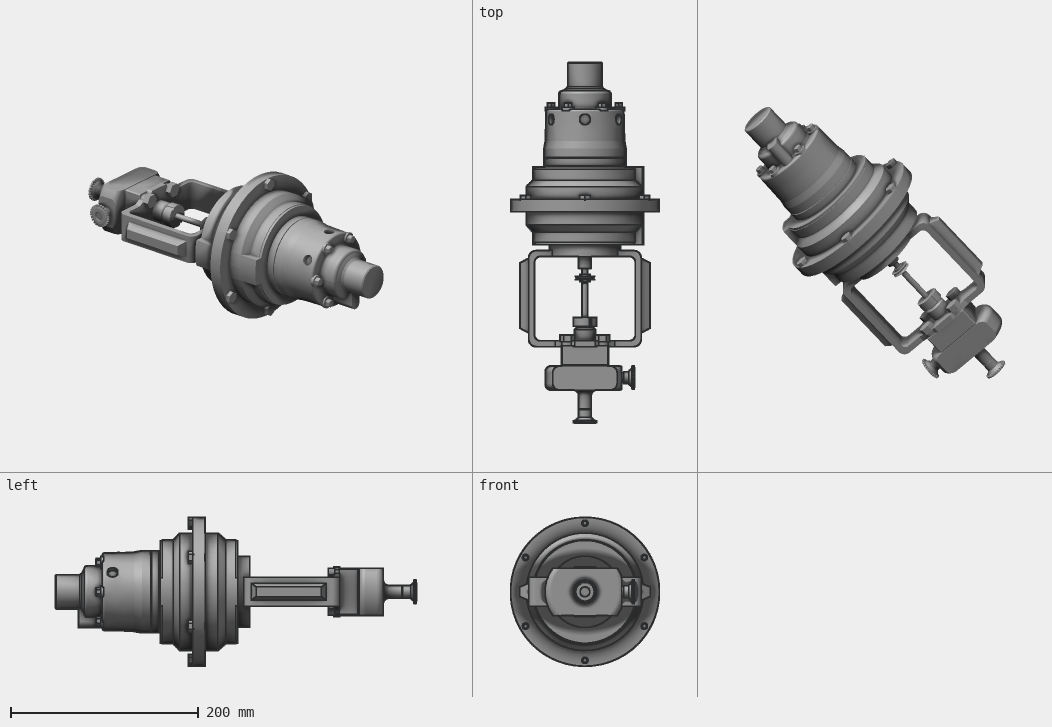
import cadquery as cq
import math


OVERALL_LENGTH = 384.6
OVERALL_WIDTH = 158.75
OVERALL_HEIGHT = 158.9

FLANGE_R = OVERALL_WIDTH / 2
FLANGE_BACK_Y = 7.2
FLANGE_FRONT_Y = -6.1
CASING_R = 62.6
RIM_R = 55.5
LIP_R = 54.7
LIP_LENGTH = 2.6
CASING_BACK_Y = 42.0
BACK_CONE_Y = (20.9, 27.8)
CASING_FRONT_Y = -41.0
FRONT_CONE_Y = (-19.7, -27.8)
LUG_HALF_WIDTH = 14.8

FLANGE_BOLTS = 6
FLANGE_BOLT_CIRCLE_R = 73.0
NUT_CORNER_R = OVERALL_HEIGHT / 2 - FLANGE_BOLT_CIRCLE_R
NUT_HEIGHT = 4.5
BOLT_HOLE_R = 3.3
BOLT_END_R = 2.3
BOLT_END_RECESS = 0.6

BONNET_BACK_Y = 103.3
BONNET_ROUNDING = 2.6
BONNET_BACK_R = 41.5
BONNET_MID_R = 42.3
BONNET_MID_Y = 69.5
BONNET_BASE_R = 43.8
BONNET_CYLINDER_Y = 61.4
GROOVE_WIDTH = 1.1
GROOVE_CENTRE_Y = 51.5
GROOVE_DEPTH = 4.0
NECK_GROOVE_DEPTH = 1.2
PORT_ANGLES = (-60, 0, 60)
PORT_R = 5.7
PORT_Y = 92.5
PORT_DEPTH = 6.0

CAP_R = 27.8
CAP_SHOULDER_Y = 119.3
CAP_FILLET = 3.5
CAP_CONE_R = 20.0
CAP_CONE_Y = 125.1
CAP_ROOT_FILLET = 2.4
STUB_R = 18.4
STUB_ROOT_Y = 127.4
STUB_END_Y = 153.4
STUB_CHAMFER = 1.2
CAP_SCREWS = 6
CAP_SCREW_CIRCLE_R = 36.0
CAP_SCREW_R = 4.5
CAP_SCREW_TOP_Y = 110.3
CAP_SCREW_CHAMFER = 0.9
WASHER_R = 6.5
WASHER_TOP_Y = 105.3
WASHER_BOTTOM_Y = 102.9
RIB_R = 6.2
RIB_CENTRE_Z = -31.9
RIB_END_Y = 129.0

HUB_R = 38.0
HUB_FRONT_Y = -53.6
YOKE_HALF_WIDTH = 60.0
YOKE_THICKNESS = 6.5
YOKE_HALF_HEIGHT = 15.5
YOKE_BACK_Y = HUB_FRONT_Y + YOKE_THICKNESS
YOKE_FRONT_Y = -149.6
YOKE_OUTER_R = 8.2
YOKE_INNER_R = 6.0
SIDE_RIB_HEIGHT = 9.3
SIDE_RIB_ROOT_Y = (-55.4, -134.8)
SIDE_RIB_TOP_Y = (-60.2, -129.9)
SIDE_RIB_ROOT_HALF = 9.1
SIDE_RIB_TOP_HALF = 5.1
LEG_HOLE_R = 1.6
LEG_HOLE_Y = -113.0

PAD_HALF_WIDTH = 31.8
PAD_SHOULDER = (24.7, 19.6)
PAD_CORNER_MID = (22.5, 22.3)
PAD_STEP_X = (17.9, 14.5)
PAD_STEP_Z = 23.6
PAD_TONGUE_HALF_WIDTH = 10.9
PAD_HALF_HEIGHT = 26.4
PAD_BOLT_OFFSET_X = 18.7
PAD_BOLT_OFFSET_Z = 18.3
PAD_BOLT_CORNER_R = 7.9
PAD_BOLT_HEIGHT = 6.2

COUPLING_R = 6.9
COUPLING_END_Y = -66.8
COUPLING_CHAMFER = 1.0
SPINDLE_R = 3.2
SPINDLE_NECK_R = 2.2
COLLAR_R = 5.6
COLLAR_Y = (-72.6, -80.2)
DISC_R = 10.2
DISC_Y = (-74.7, -78.3)
DISC_GROOVE_R = 9.0
SPINDLE_SHOULDER_Y = -82.2
GLAND_R = 12.6
GLAND_Y = (-118.2, -127.9)
GLAND_SLOT_WIDTH = 2.6
GLAND_SLOT_DEPTH = 1.2
GLAND_SLOTS = 2
GLAND_SLOT_ANGLE = 60.0
GLAND_NECK_R = 8.6
GLAND_BODY_R = 11.3
GLAND_BODY_Y = -129.6
GLAND_BODY_CHAMFER = 1.8

BLOCK_HALF = 25.3
BLOCK_CHAMFER = 1.2
GEARBOX_BACK_Y = -169.9
GEARBOX_FRONT_Y = -195.8
GEARBOX_R = 42.5
GEARBOX_FILLET = 6.6
GEARBOX_FLAT_X = 39.1
SHAFT_R = 6.9
SHAFT_ROOT_FILLET = 5.5
SHAFT_GROOVE_Y = -216.0
SHAFT_GROOVE_WIDTH = 1.0
SHAFT_GROOVE_DEPTH = 0.6
SIDE_SHAFT_R = 6.4
SIDE_SHAFT_NECK_R = 5.4
SIDE_SHAFT_NECK_END_X = 41.2
SIDE_SHAFT_END_X = 53.1

KNOB_R = 12.6
KNOB_RIM = 2.7
KNOB_FLARE = 3.8
KNOB_FLARE_MID = 0.7
KNOB_LENGTH = KNOB_RIM + KNOB_FLARE
KNOB_FACE_R = 8.6
KNOB_BEVEL = 0.7
KNOB_DIMPLE_R = 5.2
KNOB_DIMPLE_DEPTH = 2.0
KNOB_TEETH = 24
KNOB_NOTCH_WIDTH = 1.1
KNOB_NOTCH_DEPTH = 2.5
KNOB_END_Y = STUB_END_Y - OVERALL_LENGTH
SIDE_KNOB_CENTRE_Y = -182.4

CORNER_UP = 90
OVERLAP = 1.0


def turned(profile):
    """Solid of revolution about Y from (radius, y) points, closed along the axis."""
    first_y = profile[0][1]
    last_y = profile[-1][1]
    outline = [(0, first_y)] + profile + [(0, last_y)]
    return cq.Workplane("XY").polyline(outline).close().revolve(360, (0, 0, 0), (0, 1, 0))


def bar(radius, y_a, y_b):
    """Round bar on the main axis between two Y positions."""
    return turned([(radius, y_a), (radius, y_b)])


def ring(outer_r, inner_r, y_a, y_b):
    """Tube on the main axis between two Y positions."""
    margin = OVERLAP * math.copysign(1, y_b - y_a)
    return bar(outer_r, y_a, y_b).cut(bar(inner_r, y_a - margin, y_b + margin))


def box(x_range, y_range, z_range):
    """Box from its extents along the three axes."""
    ranges = (x_range, y_range, z_range)
    sizes = [abs(b - a) for a, b in ranges]
    centre = tuple((a + b) / 2 for a, b in ranges)
    return cq.Workplane("XY").box(*sizes).translate(centre)


def around_axis(piece, count, first_angle=0.0):
    """Copies of a piece spaced evenly about the Y axis, gathered in one object."""
    pattern = cq.Workplane("XY")
    for i in range(count):
        angle = first_angle + 360 * i / count
        pattern = pattern.add(piece.rotate((0, 0, 0), (0, 1, 0), angle).vals())
    return pattern.combine()


def hex_prism(corner_r, y_start, height, first_corner=0.0):
    """Hexagonal prism along +Y, centred on the axis; the corner angle is from +X toward +Z."""
    angles = [math.radians(first_corner + 60 * i) for i in range(6)]
    corners = [(corner_r * math.cos(a), corner_r * math.sin(a)) for a in angles]
    prism = cq.Workplane("XZ").polyline(corners).close().extrude(-height)
    return prism.translate((0, y_start, 0))


def casing():
    """Diaphragm casing with its clamped flange, end lips and lug."""
    body = turned([
        (RIM_R, CASING_BACK_Y),
        (RIM_R, BACK_CONE_Y[1]),
        (CASING_R, BACK_CONE_Y[0]),
        (CASING_R, FLANGE_BACK_Y),
        (FLANGE_R, FLANGE_BACK_Y),
        (FLANGE_R, FLANGE_FRONT_Y),
        (CASING_R, FLANGE_FRONT_Y),
        (CASING_R, FRONT_CONE_Y[0]),
        (RIM_R, FRONT_CONE_Y[1]),
        (RIM_R, CASING_FRONT_Y),
    ])
    height = (-LUG_HALF_WIDTH, LUG_HALF_WIDTH)
    for end_y, lip_y in (
        (CASING_BACK_Y, CASING_BACK_Y - LIP_LENGTH),
        (CASING_FRONT_Y, CASING_FRONT_Y + LIP_LENGTH),
    ):
        flush_patch = box((-FLANGE_R, 0), (lip_y, end_y), height)
        body = body.cut(ring(RIM_R + OVERLAP, LIP_R, lip_y, end_y).cut(flush_patch))
    length = (CASING_FRONT_Y, CASING_BACK_Y)
    lug = bar(CASING_R, *length).intersect(box((0, CASING_R), length, height))
    return body.union(lug)


def flange_nuts():
    nut = hex_prism(NUT_CORNER_R, FLANGE_BACK_Y - OVERLAP, NUT_HEIGHT + OVERLAP, CORNER_UP)
    return around_axis(nut.translate((0, 0, FLANGE_BOLT_CIRCLE_R)), FLANGE_BOLTS)


def flange_bolt_recesses():
    recess = ring(BOLT_HOLE_R, BOLT_END_R, FLANGE_FRONT_Y, FLANGE_FRONT_Y + BOLT_END_RECESS)
    return around_axis(recess.translate((0, 0, FLANGE_BOLT_CIRCLE_R)), FLANGE_BOLTS)


def bonnet():
    body = (
        cq.Workplane("XY")
        .moveTo(0, BONNET_BACK_Y)
        .lineTo(BONNET_BACK_R - BONNET_ROUNDING, BONNET_BACK_Y)
        .radiusArc((BONNET_BACK_R, BONNET_BACK_Y - BONNET_ROUNDING), BONNET_ROUNDING)
        .lineTo(BONNET_MID_R, BONNET_MID_Y)
        .lineTo(BONNET_BASE_R, BONNET_CYLINDER_Y)
        .lineTo(BONNET_BASE_R, CASING_BACK_Y - OVERLAP)
        .lineTo(0, CASING_BACK_Y - OVERLAP)
        .close()
        .revolve(360, (0, 0, 0), (0, 1, 0))
    )
    groove = ring(
        BONNET_BASE_R + OVERLAP,
        BONNET_BASE_R - GROOVE_DEPTH,
        GROOVE_CENTRE_Y - GROOVE_WIDTH / 2,
        GROOVE_CENTRE_Y + GROOVE_WIDTH / 2,
    )
    neck_groove = ring(
        BONNET_BASE_R + OVERLAP,
        BONNET_BASE_R - NECK_GROOVE_DEPTH,
        CASING_BACK_Y,
        CASING_BACK_Y + GROOVE_WIDTH,
    )
    port = (
        cq.Workplane("XY", origin=(0, PORT_Y, BONNET_BACK_R - PORT_DEPTH))
        .circle(PORT_R)
        .extrude(PORT_DEPTH + 2 * OVERLAP)
    )
    body = body.cut(groove).cut(neck_groove)
    for angle in PORT_ANGLES:
        body = body.cut(port.rotate((0, 0, 0), (0, 1, 0), angle))
    return body


def cap_and_stub():
    fillet_centre_r = CAP_R - CAP_FILLET
    fillet_mid = CAP_FILLET * math.sqrt(0.5)
    root_flare = CAP_ROOT_FILLET
    root_y = BONNET_BACK_Y + root_flare
    outline = (
        cq.Workplane("XY")
        .moveTo(0, STUB_END_Y)
        .lineTo(STUB_R - STUB_CHAMFER, STUB_END_Y)
        .lineTo(STUB_R, STUB_END_Y - STUB_CHAMFER)
        .lineTo(STUB_R, STUB_ROOT_Y)
        .lineTo(CAP_CONE_R, CAP_CONE_Y)
        .lineTo(fillet_centre_r, CAP_SHOULDER_Y + CAP_FILLET)
        .threePointArc(
            (fillet_centre_r + fillet_mid, CAP_SHOULDER_Y + fillet_mid),
            (CAP_R, CAP_SHOULDER_Y),
        )
        .lineTo(CAP_R, root_y)
        .radiusArc((CAP_R + root_flare, BONNET_BACK_Y), -root_flare)
        .lineTo(CAP_R + root_flare, BONNET_BACK_Y - OVERLAP)
        .lineTo(0, BONNET_BACK_Y - OVERLAP)
        .close()
    )
    return outline.revolve(360, (0, 0, 0), (0, 1, 0))


def cap_screws():
    head = hex_prism(CAP_SCREW_R, WASHER_BOTTOM_Y, CAP_SCREW_TOP_Y - WASHER_BOTTOM_Y, CORNER_UP)
    head = head.intersect(turned([
        (CAP_SCREW_R - CAP_SCREW_CHAMFER, CAP_SCREW_TOP_Y),
        (CAP_SCREW_R, CAP_SCREW_TOP_Y - CAP_SCREW_CHAMFER),
        (CAP_SCREW_R, WASHER_BOTTOM_Y),
    ]))
    screw = bar(WASHER_R, WASHER_TOP_Y, WASHER_BOTTOM_Y - OVERLAP).union(head)
    return around_axis(screw.translate((CAP_SCREW_CIRCLE_R, 0, 0)), CAP_SCREWS)


def cap_rib():
    """Round-ended rib standing on the bonnet below the cap."""
    length = (BONNET_BACK_Y - OVERLAP, RIB_END_Y)
    web = box((-RIB_R, RIB_R), length, (RIB_CENTRE_Z, 0))
    return web.union(bar(RIB_R, *length).translate((0, 0, RIB_CENTRE_Z)))


def rounded_frame_piece(half_width, y_front, y_back, corner_r):
    """Block of the yoke's height with its upright edges rounded."""
    piece = box((-half_width, half_width), (y_front, y_back), (-YOKE_HALF_HEIGHT, YOKE_HALF_HEIGHT))
    return piece.edges("|Z").fillet(corner_r)


def side_rib():
    """Tapered rib on the +X leg of the yoke."""
    root = YOKE_HALF_WIDTH
    root_size = (SIDE_RIB_ROOT_Y[0] - SIDE_RIB_ROOT_Y[1], 2 * SIDE_RIB_ROOT_HALF)
    top_size = (SIDE_RIB_TOP_Y[0] - SIDE_RIB_TOP_Y[1], 2 * SIDE_RIB_TOP_HALF)
    root_y = sum(SIDE_RIB_ROOT_Y) / 2
    top_y = sum(SIDE_RIB_TOP_Y) / 2
    return (
        cq.Workplane("YZ", origin=(root, root_y, 0))
        .rect(*root_size)
        .workplane(offset=SIDE_RIB_HEIGHT)
        .center(top_y - root_y, 0)
        .rect(*top_size)
        .loft(ruled=True)
    )


def yoke():
    outer = rounded_frame_piece(YOKE_HALF_WIDTH, YOKE_FRONT_Y, YOKE_BACK_Y, YOKE_OUTER_R)
    window = rounded_frame_piece(
        YOKE_HALF_WIDTH - YOKE_THICKNESS,
        YOKE_FRONT_Y + YOKE_THICKNESS,
        YOKE_BACK_Y - YOKE_THICKNESS,
        YOKE_INNER_R,
    )
    leg_hole = (
        cq.Workplane("YZ", origin=(YOKE_HALF_WIDTH - YOKE_THICKNESS, LEG_HOLE_Y, 0))
        .circle(LEG_HOLE_R)
        .extrude(YOKE_THICKNESS)
    )
    hub = bar(HUB_R, CASING_FRONT_Y + OVERLAP, HUB_FRONT_Y)
    rib = side_rib()
    frame = outer.cut(window).cut(leg_hole).union(hub)
    return frame.union(rib).union(rib.mirror("YZ"))


def mounting_pad():
    """Widened plate at the front bar of the yoke, mirrored about X and Z."""
    quarter = (
        cq.Workplane("XZ", origin=(0, YOKE_FRONT_Y + YOKE_THICKNESS, 0))
        .moveTo(0, 0)
        .lineTo(PAD_HALF_WIDTH, 0)
        .lineTo(PAD_HALF_WIDTH, YOKE_HALF_HEIGHT)
        .lineTo(*PAD_SHOULDER)
        .threePointArc(PAD_CORNER_MID, (PAD_STEP_X[0], PAD_STEP_Z))
        .lineTo(PAD_STEP_X[1], PAD_STEP_Z)
        .lineTo(PAD_TONGUE_HALF_WIDTH, PAD_HALF_HEIGHT)
        .lineTo(0, PAD_HALF_HEIGHT)
        .close()
        .extrude(YOKE_THICKNESS)
    )
    half = quarter.union(quarter.mirror("YZ"))
    pad = half.union(half.mirror("XY"))
    bolt_seat_y = YOKE_FRONT_Y + YOKE_THICKNESS
    head = hex_prism(PAD_BOLT_CORNER_R, bolt_seat_y - OVERLAP, PAD_BOLT_HEIGHT + OVERLAP)
    for side_x in (-1, 1):
        for side_z in (-1, 1):
            place = (side_x * PAD_BOLT_OFFSET_X, 0, side_z * PAD_BOLT_OFFSET_Z)
            pad = pad.union(head.translate(place))
    return pad


def spindle():
    chamfer_y = COUPLING_END_Y + COUPLING_CHAMFER
    return turned([
        (COUPLING_R, HUB_FRONT_Y + OVERLAP),
        (COUPLING_R, chamfer_y),
        (COUPLING_R - COUPLING_CHAMFER, COUPLING_END_Y),
        (SPINDLE_R, COUPLING_END_Y),
        (SPINDLE_R, COLLAR_Y[0]),
        (COLLAR_R, COLLAR_Y[0]),
        (COLLAR_R, DISC_Y[0]),
        (DISC_R, DISC_Y[0]),
        (DISC_GROOVE_R, sum(DISC_Y) / 2),
        (DISC_R, DISC_Y[1]),
        (COLLAR_R, DISC_Y[1]),
        (COLLAR_R, COLLAR_Y[1]),
        (SPINDLE_NECK_R, COLLAR_Y[1]),
        (SPINDLE_NECK_R, SPINDLE_SHOULDER_Y),
        (SPINDLE_R, SPINDLE_SHOULDER_Y),
        (SPINDLE_R, GLAND_Y[0] - OVERLAP),
    ])


def gland():
    body = turned([
        (GLAND_R, GLAND_Y[0]),
        (GLAND_R, GLAND_Y[1]),
        (GLAND_NECK_R, GLAND_Y[1]),
        (GLAND_NECK_R, GLAND_BODY_Y),
        (GLAND_BODY_R - GLAND_BODY_CHAMFER, GLAND_BODY_Y),
        (GLAND_BODY_R, GLAND_BODY_Y - GLAND_BODY_CHAMFER),
        (GLAND_BODY_R, YOKE_FRONT_Y + OVERLAP),
    ])
    half_slot = GLAND_SLOT_WIDTH / 2
    slot = box((GLAND_R - GLAND_SLOT_DEPTH, GLAND_R + OVERLAP), GLAND_Y, (-half_slot, half_slot))
    return body.cut(around_axis(slot, GLAND_SLOTS, -GLAND_SLOT_ANGLE))


def gearbox():
    span = (-BLOCK_HALF, BLOCK_HALF)
    block = box(span, (YOKE_FRONT_Y + OVERLAP, GEARBOX_BACK_Y), span)
    block = block.edges("|Y or <Y").chamfer(BLOCK_CHAMFER)
    drum = bar(GEARBOX_R, GEARBOX_BACK_Y, GEARBOX_FRONT_Y).faces("<Y or >Y").edges().fillet(GEARBOX_FILLET)
    envelope = box((-GEARBOX_R, GEARBOX_FLAT_X), (GEARBOX_BACK_Y, GEARBOX_FRONT_Y), span)
    return block.union(drum.intersect(envelope))


def knob():
    """Knurled knob along -Y, with its outer face centred on the origin."""
    flare_mid_r = (KNOB_R + SHAFT_R) / 2
    body = (
        cq.Workplane("XY")
        .moveTo(0, 0)
        .lineTo(KNOB_FACE_R, 0)
        .lineTo(KNOB_R, KNOB_BEVEL)
        .lineTo(KNOB_R, KNOB_RIM)
        .lineTo(flare_mid_r, KNOB_RIM + KNOB_FLARE_MID)
        .lineTo(SHAFT_R, KNOB_LENGTH)
        .lineTo(0, KNOB_LENGTH)
        .close()
        .revolve(360, (0, 0, 0), (0, 1, 0))
    )
    half_notch = KNOB_NOTCH_WIDTH / 2
    notch = box(
        (KNOB_R - KNOB_NOTCH_DEPTH, KNOB_R + OVERLAP), (-OVERLAP, KNOB_LENGTH), (-half_notch, half_notch)
    )
    dimple = bar(KNOB_DIMPLE_R, 0, KNOB_DIMPLE_DEPTH)
    return body.cut(around_axis(notch, KNOB_TEETH)).cut(dimple)


def front_shaft():
    groove_back_y = SHAFT_GROOVE_Y + SHAFT_GROOVE_WIDTH / 2
    groove_front_y = SHAFT_GROOVE_Y - SHAFT_GROOVE_WIDTH / 2
    knob_back_y = KNOB_END_Y + KNOB_LENGTH
    root_r = SHAFT_R + SHAFT_ROOT_FILLET
    shaft = (
        cq.Workplane("XY")
        .moveTo(0, GEARBOX_FRONT_Y + OVERLAP)
        .lineTo(root_r, GEARBOX_FRONT_Y + OVERLAP)
        .lineTo(root_r, GEARBOX_FRONT_Y)
        .radiusArc((SHAFT_R, GEARBOX_FRONT_Y - SHAFT_ROOT_FILLET), -SHAFT_ROOT_FILLET)
        .lineTo(SHAFT_R, knob_back_y - OVERLAP)
        .lineTo(0, knob_back_y - OVERLAP)
        .close()
        .revolve(360, (0, 0, 0), (0, 1, 0))
    )
    groove = ring(SHAFT_R + OVERLAP, SHAFT_R - SHAFT_GROOVE_DEPTH, groove_back_y, groove_front_y)
    return shaft.cut(groove).union(knob().translate((0, KNOB_END_Y, 0)))


def side_shaft():
    """Shaft and knob on the +X flat of the gearbox, turned from -Y to +X."""
    neck_y = -SIDE_SHAFT_NECK_END_X
    shaft = turned([
        (SIDE_SHAFT_NECK_R, OVERLAP - GEARBOX_FLAT_X),
        (SIDE_SHAFT_NECK_R, neck_y),
        (SIDE_SHAFT_R, neck_y),
        (SIDE_SHAFT_R, KNOB_LENGTH - SIDE_SHAFT_END_X - OVERLAP),
    ])
    assembly = shaft.union(knob().translate((0, -SIDE_SHAFT_END_X, 0)))
    return assembly.rotate((0, 0, 0), (0, 0, 1), 90).translate((0, SIDE_KNOB_CENTRE_Y, 0))


result = casing().cut(flange_bolt_recesses())
for piece in (
    flange_nuts(),
    bonnet(),
    cap_and_stub(),
    cap_screws(),
    cap_rib(),
    yoke().union(mounting_pad()),
    spindle(),
    gland(),
    gearbox(),
    front_shaft(),
    side_shaft(),
):
    result = result.union(piece)